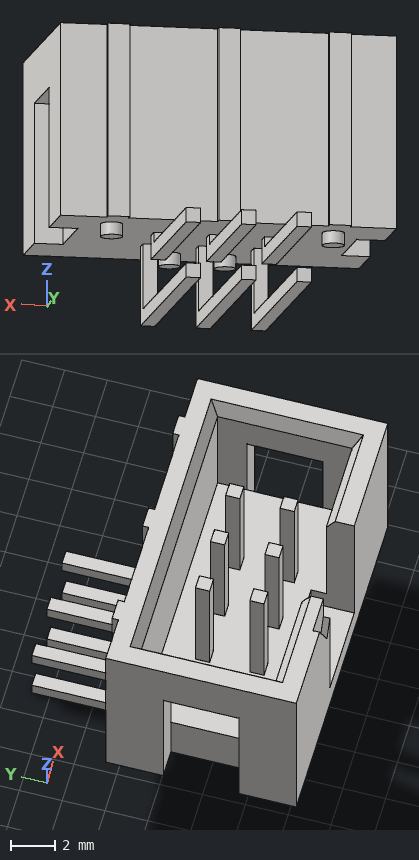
import cadquery as cq

length = 15.4
total_depth = 13.7
total_height = 12.52
body_depth = 8.9
body_height = 8.87

front = -body_depth / 2
back = body_depth / 2
pins_end = front + total_depth
pins_bottom = body_height - total_height

wall = 1.31
rim = 0.9
lead_in_height = 0.68
floor_height = 2.54

notch_width = 4.1
notch_depth = 2.02
notch_floor = 1.45

window_width = 3.53
window_height = 6.44

pitch = 2.54
columns = 3
pin_size = 0.66
pin_recess = 0.25
pin_top = body_height - pin_recess

arrow_half_width = 1.25
arrow_height = 2.5
arrow_depth = 0.31

rib_pitch = 2 * pitch
rib_width = 1.0
rib_depth = 0.3
peg_diameter = 1.0
peg_height = 0.57
peg_offset_y = 2.99
back_peg_x = rib_pitch
front_peg_x = pitch / 2


def block(x_range, y_range, z_range):
    """Box between two limits along each axis."""
    (x0, x1), (y0, y1), (z0, z1) = x_range, y_range, z_range
    return cq.Workplane("XY").box(x1 - x0, y1 - y0, z1 - z0, centered=False).translate((x0, y0, z0))


def span(center, width):
    """Limits of a width placed evenly about a center."""
    return (center - width / 2, center + width / 2)


def cavity():
    inner_length = length - 2 * wall
    inner_depth = body_depth - 2 * wall
    straight = block(span(0, inner_length), span(0, inner_depth), (floor_height, body_height))
    lead_in = (
        cq.Workplane("XY")
        .workplane(offset=body_height - lead_in_height)
        .rect(inner_length, inner_depth)
        .workplane(offset=lead_in_height)
        .rect(length - 2 * rim, body_depth - 2 * rim)
        .loft(ruled=True)
    )
    return straight.union(lead_in)


def notch():
    return block(span(0, notch_width), (front, front + notch_depth), (notch_floor, body_height))


def end_window(side):
    """Opening through one end wall, running down to the underside."""
    center_x = side * (length - wall) / 2
    return block(span(center_x, wall), span(0, window_width), (0, window_height))


def arrow():
    first_pin_x = -pitch
    return (
        cq.Workplane("XZ", origin=(first_pin_x, front, body_height))
        .moveTo(-arrow_half_width, 0)
        .lineTo(arrow_half_width, 0)
        .lineTo(0, -arrow_height)
        .close()
        .extrude(-arrow_depth)
    )


def rib(x):
    return block(span(x, rib_width), (back, back + rib_depth), (0, body_height))


def peg(x, y):
    return cq.Workplane("XY").center(x, y).circle(peg_diameter / 2).extrude(-peg_height)


def pin(x, y, bottom):
    """Right-angle pin: upright through the floor, then a tail towards +Y."""
    upright = block(span(x, pin_size), span(y, pin_size), (bottom, pin_top))
    tail = block(span(x, pin_size), (y - pin_size / 2, pins_end), (bottom, bottom + pin_size))
    return upright.union(tail)


housing = block(span(0, length), span(0, body_depth), (0, body_height))
housing = housing.cut(cavity()).cut(notch()).cut(arrow())
for side in (-1, 1):
    housing = housing.cut(end_window(side))
    housing = housing.union(peg(side * back_peg_x, peg_offset_y))
    housing = housing.union(peg(side * front_peg_x, -peg_offset_y))

result = housing
for column in range(columns):
    place = column - (columns - 1) / 2
    column_x = place * pitch
    result = result.union(rib(place * rib_pitch))
    result = result.union(pin(column_x, -pitch / 2, pins_bottom))
    result = result.union(pin(column_x, pitch / 2, pins_bottom + pitch))